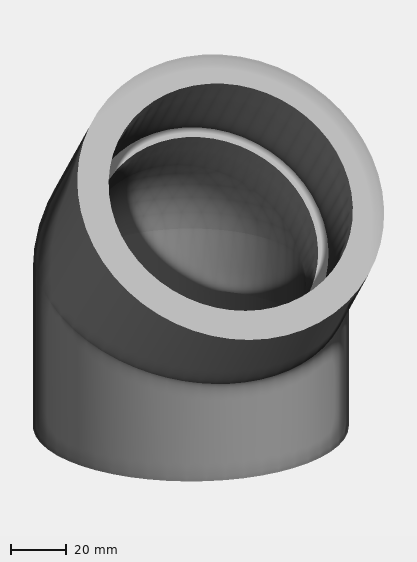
import cadquery as cq
import math

overall_height = 142.4
bend_angle = 45
outer_diameter = 113.0
socket_diameter = 90.0
bore_diameter = 82.3
socket_depth = 36.6

tilt = math.radians(bend_angle)
rim_rise = outer_diameter / 2 * math.sin(tilt)
arm_length = (overall_height - rim_rise) / (1 + math.cos(tilt))


def bent_pipe(diameter, length):
    """Solid with two round arms from the bend centre, joined by a ball of the same diameter."""
    radius = diameter / 2
    lower_arm = cq.Workplane("XY").circle(radius).extrude(-length)
    upper_arm = cq.Workplane("XY").circle(radius).extrude(length)
    upper_arm = upper_arm.rotate((0, 0, 0), (0, 1, 0), bend_angle)
    ball = cq.Workplane("XY").sphere(radius)
    return lower_arm.union(upper_arm).union(ball)


def end_sockets():
    """Wider pipe seats, running inward from both end faces."""
    shoulder = arm_length - socket_depth
    seat = cq.Workplane("XY").workplane(offset=shoulder).circle(socket_diameter / 2).extrude(socket_depth)
    lower_seat = seat.mirror("XY")
    upper_seat = seat.rotate((0, 0, 0), (0, 1, 0), bend_angle)
    return lower_seat, upper_seat


elbow = bent_pipe(outer_diameter, arm_length).cut(bent_pipe(bore_diameter, arm_length))
for socket in end_sockets():
    elbow = elbow.cut(socket)

result = elbow.translate((0, 0, arm_length))